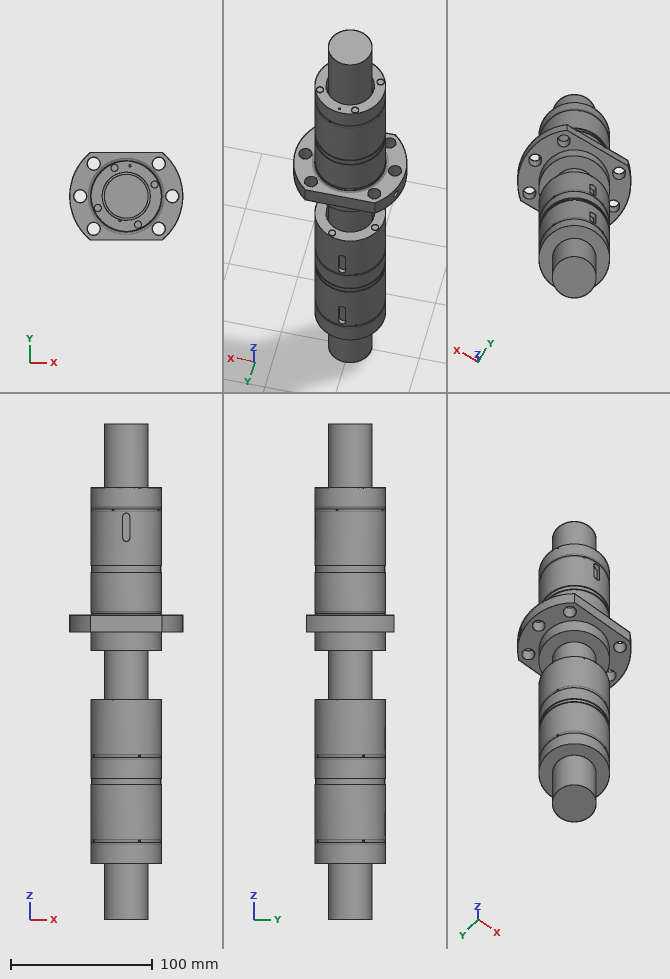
import cadquery as cq
import math

shaft_length = 350.0
shaft_radius = 15.5

nut_radius = 25.0
bore_radius = shaft_radius
mouth_radius = 17.0
mouth_depth = 13.0
spacer_radius = 24.5
quarter_angles = [0.0, 90.0, 180.0, 270.0]
pattern_turn = 22.5

cut_margin = 1.0

groove_width = 3.0
groove_depth = 0.3
dimple_diameter = 1.2
dimple_depth = 0.6

key_width = 5.0
key_length = 20.0
key_depth = 3.0

recess_diameter = 5.0
recess_depth = 0.5
recess_circle_radius = 21.7

flanged_nut_bottom = 190.0
flanged_nut_length = 115.0
boss_height = 13.0
flange_thickness = 12.0
flange_top = boss_height + flange_thickness
flanged_spacer_bottom = 55.0
flanged_spacer_length = 5.0
flanged_key_center = 87.0
flanged_groove_bottom = 98.4
flanged_groove_apex = 1.7
flanged_dimple_height = 99.5

flange_radius = 40.0
flange_width = 62.0
bolt_circle_radius = 32.5
bolt_hole_diameter = 9.0
bolt_angles = [0.0, 45.0, 135.0, 180.0, 225.0, 315.0]
oil_hole_diameter = 5.0
oil_hole_angle = 180.0 - pattern_turn

relief_height = 2.5
relief_outer_radius = 26.8
relief_corner_radius = 1.2
relief_side_depth = 0.4
relief_face_depth = 0.2

notch_diameter = 2.0
notch_depth = 2.0
notch_circle_radius = 17.3
notch_angle = 255.0

locating_hole_diameter = 1.5
locating_hole_depth = 3.0
locating_hole_angle = 83.0

plain_nut_bottom = 39.5
half_length = 56.0
plain_spacer_length = 4.0
plain_nut_length = 2 * half_length + plain_spacer_length
plain_groove_bottom = 14.0
plain_groove_apex = 1.0
plain_dimple_height = 16.0
plain_key_center = 28.0


def at_angle(radius, angle):
    turn = math.radians(angle)
    return (radius * math.cos(turn), radius * math.sin(turn))


def cylinder(radius, bottom, height):
    return cq.Workplane("XY").workplane(offset=bottom).circle(radius).extrude(height)


def revolved(outline):
    return outline.close().revolve(360, (0, 0, 0), (0, 1, 0))


def radial_hole(diameter, inner_radius, outer_radius, angle, height):
    x, y = at_angle(1.0, angle)
    start = cq.Vector(inner_radius * x, inner_radius * y, height)
    hole = cq.Solid.makeCylinder(diameter / 2, outer_radius - inner_radius, start, cq.Vector(x, y, 0))
    return cq.Workplane(hole)


def stepped_bore(nut_length):
    bore = cylinder(bore_radius, 0, nut_length)
    return bore.union(cylinder(mouth_radius, nut_length - mouth_depth, mouth_depth))


def waist(bottom, length):
    return cylinder(nut_radius + cut_margin, bottom, length).cut(cylinder(spacer_radius, bottom, length))


def v_groove(bottom, apex_height):
    outline = (
        cq.Workplane("XZ")
        .moveTo(nut_radius, bottom)
        .lineTo(nut_radius - groove_depth, bottom + apex_height)
        .lineTo(nut_radius, bottom + groove_width)
        .lineTo(nut_radius + cut_margin, bottom + groove_width)
        .lineTo(nut_radius + cut_margin, bottom)
    )
    return revolved(outline)


def cut_dimples(nut, height, turn):
    inner_radius = nut_radius - dimple_depth
    outer_radius = nut_radius + cut_margin
    for angle in quarter_angles:
        nut = nut.cut(radial_hole(dimple_diameter, inner_radius, outer_radius, angle + turn, height))
    return nut


def keyway(center_height, side):
    """Slot in the -Y side (side = -1) or the +Y side (side = 1) of a nut."""
    slot = cq.Workplane("XZ").center(0, center_height).slot2D(key_length, key_width, 90)
    floor = side * (nut_radius - key_depth)
    return slot.extrude(-side * (key_depth + cut_margin)).translate((0, floor, 0))


def end_recesses(top, turn):
    points = [at_angle(recess_circle_radius, angle + turn) for angle in quarter_angles]
    return (
        cq.Workplane("XY")
        .workplane(offset=top - recess_depth)
        .pushPoints(points)
        .circle(recess_diameter / 2)
        .extrude(recess_depth)
    )


def flange():
    flat_y = flange_width / 2
    flat_x = math.sqrt(flange_radius**2 - flat_y**2)
    plate = (
        cq.Workplane("XY")
        .workplane(offset=boss_height)
        .moveTo(-flat_x, -flat_y)
        .lineTo(flat_x, -flat_y)
        .threePointArc((flange_radius, 0), (flat_x, flat_y))
        .lineTo(-flat_x, flat_y)
        .threePointArc((-flange_radius, 0), (-flat_x, -flat_y))
        .close()
        .extrude(flange_thickness)
    )
    bolt_holes = (
        cq.Workplane("XY")
        .workplane(offset=boss_height)
        .pushPoints([at_angle(bolt_circle_radius, angle) for angle in bolt_angles])
        .circle(bolt_hole_diameter / 2)
        .extrude(flange_thickness)
    )
    return plate.cut(bolt_holes)


def flange_relief():
    side_radius = nut_radius - relief_side_depth
    arc_center_radius = side_radius + relief_corner_radius
    floor_height = flange_top - relief_face_depth
    arc_center_height = floor_height + relief_corner_radius
    arc_reach = relief_corner_radius * math.sqrt(0.5)
    outline = (
        cq.Workplane("XZ")
        .moveTo(nut_radius, flange_top + relief_height)
        .lineTo(side_radius, arc_center_height)
        .threePointArc(
            (arc_center_radius - arc_reach, arc_center_height - arc_reach),
            (arc_center_radius, floor_height),
        )
        .lineTo(relief_outer_radius, flange_top)
        .lineTo(relief_outer_radius, flange_top + relief_height)
    )
    return revolved(outline)


def make_shaft():
    return cylinder(shaft_radius, 0, shaft_length)


def make_flanged_nut():
    oil_hole_height = boss_height + flange_thickness / 2
    locating_hole = cylinder(
        locating_hole_diameter / 2, flanged_nut_length - locating_hole_depth, locating_hole_depth
    ).translate(at_angle(recess_circle_radius, locating_hole_angle) + (0,))
    mouth_notch = cylinder(
        notch_diameter / 2, flanged_nut_length - notch_depth, notch_depth
    ).translate(at_angle(notch_circle_radius, notch_angle) + (0,))
    nut = cylinder(nut_radius, 0, flanged_nut_length).union(flange())
    nut = nut.cut(flange_relief())
    nut = nut.cut(stepped_bore(flanged_nut_length))
    nut = nut.cut(waist(flanged_spacer_bottom, flanged_spacer_length))
    nut = nut.cut(v_groove(flanged_groove_bottom, flanged_groove_apex))
    nut = cut_dimples(nut, flanged_dimple_height, -pattern_turn)
    nut = nut.cut(keyway(flanged_key_center, -1))
    nut = nut.cut(end_recesses(flanged_nut_length, pattern_turn))
    nut = nut.cut(locating_hole)
    nut = nut.cut(mouth_notch)
    nut = nut.cut(
        radial_hole(oil_hole_diameter, 0, flange_radius + cut_margin, oil_hole_angle, oil_hole_height)
    )
    return nut.translate((0, 0, flanged_nut_bottom))


def make_plain_nut():
    nut = cylinder(nut_radius, 0, plain_nut_length)
    nut = nut.cut(stepped_bore(plain_nut_length))
    nut = nut.cut(waist(half_length, plain_spacer_length))
    for bottom in (0, half_length + plain_spacer_length):
        nut = nut.cut(v_groove(bottom + plain_groove_bottom, plain_groove_apex))
        nut = cut_dimples(nut, bottom + plain_dimple_height, pattern_turn)
        nut = nut.cut(keyway(bottom + plain_key_center, 1))
    nut = nut.cut(end_recesses(plain_nut_length, -pattern_turn))
    return nut.translate((0, 0, plain_nut_bottom))


shaft = make_shaft()
flanged_nut = make_flanged_nut()
plain_nut = make_plain_nut()
result = cq.Compound.makeCompound([shaft.val(), flanged_nut.val(), plain_nut.val()])